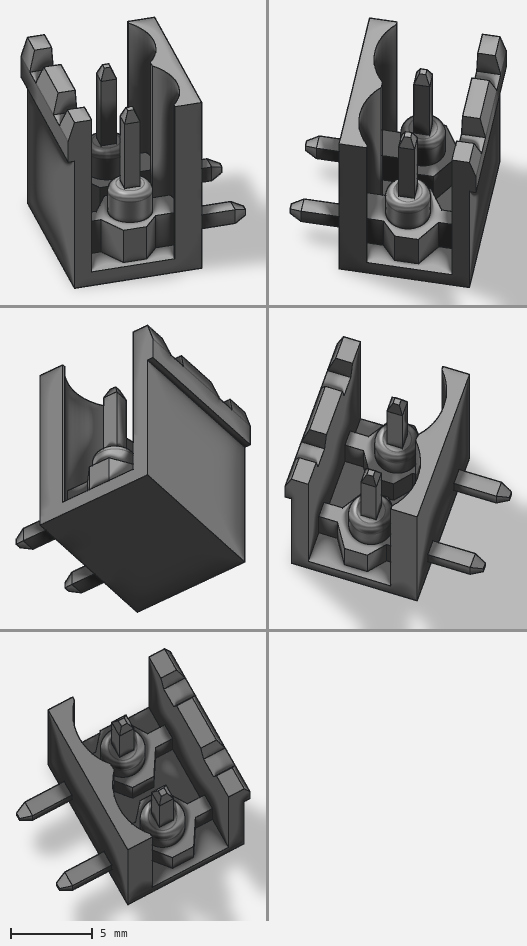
import cadquery as cq


pin_count = 2
pitch = 5.082
pin_xs = [(i - (pin_count - 1) / 2) * pitch for i in range(pin_count)]

width = pin_count * pitch
height = 12.0
floor_top = 1.0
latch_depth = 0.41
front_wall_inner = 1.5
back_wall_inner = 6.8
back_wall_outer = 8.52

latch_bottom = 9.2
latch_top = 10.7

notch_top_width = 2.0
notch_bottom_width = 1.27

cove_half_width = 2.33
cove_depth = 0.9

pedestal_top = 3.32
front_neck_half = 0.5
pedestal_half = 2.06
back_neck_half = 1.01
front_neck_end = 2.7
wide_start = 3.67
wide_end = 5.15
back_neck_start = 6.04

collar_diameter = 2.75
collar_top = 5.3
collar_fillet = 0.5

pin_size = 1.0
pin_y = 4.7
pin_top = 10.7
leg_z = 2.0
leg_end = 12.0
tip_size = 0.41
tip_length = 0.75


def make_channel():
    """Floor, back wall and front wall with its latch lip, as one profile along X."""
    profile = [
        (latch_depth, 0),
        (back_wall_outer, 0),
        (back_wall_outer, height),
        (back_wall_inner, height),
        (back_wall_inner, floor_top),
        (front_wall_inner, floor_top),
        (front_wall_inner, height),
        (latch_depth, height),
        (0, latch_top),
        (0, latch_bottom),
        (latch_depth, latch_bottom),
    ]
    return cq.Workplane("YZ").polyline(profile).close().extrude(width / 2, both=True)


def make_cove(x):
    """Segment of a cylinder removed from the inner face of the back wall."""
    return (
        cq.Workplane("XY", origin=(x, back_wall_inner, floor_top))
        .moveTo(-cove_half_width, 0)
        .threePointArc((0, cove_depth), (cove_half_width, 0))
        .close()
        .extrude(height - floor_top)
    )


def make_notch(x):
    """Trapezoid removed from the rim of the front wall, wider at the top."""
    outline = [
        (-notch_bottom_width / 2, latch_top),
        (notch_bottom_width / 2, latch_top),
        (notch_top_width / 2, height),
        (-notch_top_width / 2, height),
    ]
    return cq.Workplane("XZ", origin=(x, 0, 0)).polyline(outline).close().extrude(-front_wall_inner)


def make_pedestal(x):
    """Block between the walls, widest around the pin; its back end fills the foot of the cove."""
    right_side = [
        (front_neck_half, front_wall_inner),
        (front_neck_half, front_neck_end),
        (pedestal_half, wide_start),
        (pedestal_half, wide_end),
        (back_neck_half, back_neck_start),
        (back_neck_half, back_wall_outer),
    ]
    left_side = [(-px, py) for px, py in reversed(right_side)]
    return (
        cq.Workplane("XY", origin=(x, 0, floor_top))
        .polyline(right_side + left_side)
        .close()
        .extrude(pedestal_top - floor_top)
    )


def make_collar(x):
    """Round collar with a rounded upper edge."""
    return (
        cq.Workplane("XY", origin=(x, pin_y, pedestal_top))
        .circle(collar_diameter / 2)
        .extrude(collar_top - pedestal_top)
        .faces(">Z")
        .edges()
        .fillet(collar_fillet)
    )


def make_pointed_bar(plane, origin, length):
    """Square bar that starts at the origin and ends in a blunt pyramid."""
    shank_length = length - tip_length
    shank = cq.Workplane(plane, origin=origin).rect(pin_size, pin_size).extrude(shank_length)
    tip = (
        shank.faces(cq.selectors.DirectionMinMaxSelector(shank.plane.zDir))
        .workplane(centerOption="CenterOfMass")
        .rect(pin_size, pin_size)
        .workplane(offset=tip_length)
        .rect(tip_size, tip_size)
        .loft(combine=False)
    )
    return shank.union(tip)


def make_pin(x):
    """L-shaped pin: an upright contact and a solder leg out through the back wall."""
    half = pin_size / 2
    heel_y = pin_y - half
    heel_z = leg_z - half
    contact = make_pointed_bar("XY", (x, pin_y, heel_z), pin_top - heel_z)
    leg = make_pointed_bar("ZX", (x, heel_y, leg_z), leg_end - heel_y)
    return contact.union(leg)


def make_housing(pins):
    """Channel with coves, notches, pedestals and collars, holed to fit the pins."""
    housing = make_channel()
    for x in pin_xs:
        housing = housing.cut(make_cove(x)).cut(make_notch(x))
    for x in pin_xs:
        housing = housing.union(make_pedestal(x)).union(make_collar(x))
    for pin in pins:
        housing = housing.cut(pin)
    return housing


pins = [make_pin(x) for x in pin_xs]
housing = make_housing(pins)

result = cq.Compound.makeCompound([housing.val(), *[pin.val() for pin in pins]])